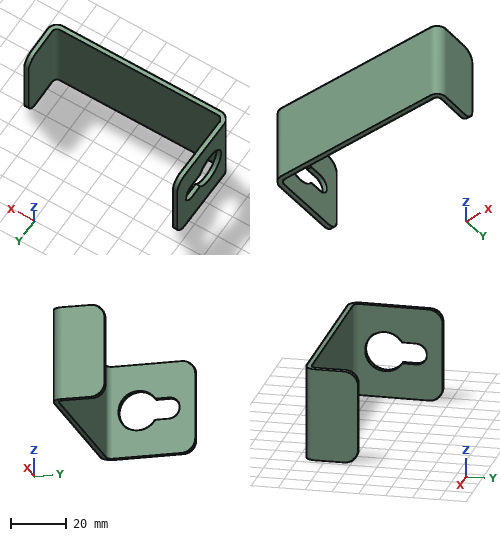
import cadquery as cq
import math

width = 75.9
height = 35.0
long_flange_depth = 35.0
short_flange_depth = 20.0

thickness = 2.0
outer_bend_radius = 4.0
inner_bend_radius = outer_bend_radius - thickness
lean_angle = 1.0
corner_radius = 5.0

keyhole_radius = 7.5
keyhole_center = 13.5
slot_width = 8.05
slot_end_center = 25.05

middle_height = height / 2
left_bend_x = outer_bend_radius
right_bend_x = width - outer_bend_radius


def flange(left_x, length):
    """Upright plate starting at the bend, with its free corners rounded."""
    return (
        cq.Workplane("XY")
        .box(thickness, length, height, centered=False)
        .edges("|X and >Y")
        .fillet(corner_radius)
        .translate((left_x, outer_bend_radius, 0))
    )


def bend(center_x, start_angle, end_angle):
    """Curved strip about a vertical axis between two angles in degrees."""
    def point(radius, angle):
        radians = math.radians(angle)
        return (
            center_x + radius * math.cos(radians),
            outer_bend_radius + radius * math.sin(radians),
        )

    middle_angle = (start_angle + end_angle) / 2
    return (
        cq.Workplane("XY")
        .moveTo(*point(outer_bend_radius, start_angle))
        .threePointArc(point(outer_bend_radius, middle_angle), point(outer_bend_radius, end_angle))
        .lineTo(*point(inner_bend_radius, end_angle))
        .threePointArc(point(inner_bend_radius, middle_angle), point(inner_bend_radius, start_angle))
        .close()
        .extrude(height)
    )


def keyhole():
    """Round opening with a narrower round-ended slot toward the free edge."""
    opening = (
        cq.Workplane("YZ")
        .center(keyhole_center, middle_height)
        .circle(keyhole_radius)
        .extrude(thickness)
    )
    slot_length = slot_end_center - keyhole_center
    slot = (
        cq.Workplane("YZ")
        .center(keyhole_center + slot_length / 2, middle_height)
        .slot2D(slot_length + slot_width, slot_width)
        .extrude(thickness)
    )
    return opening.union(slot)


web = (
    cq.Workplane("XY")
    .box(right_bend_x - left_bend_x, thickness, height, centered=False)
    .translate((left_bend_x, 0, 0))
)

lean = math.radians(lean_angle)
tip_rise = long_flange_depth - outer_bend_radius
long_flange_length = (tip_rise - outer_bend_radius * math.sin(lean)) / math.cos(lean)
long_flange = (
    flange(0, long_flange_length)
    .cut(keyhole())
    .rotate(
        (left_bend_x, outer_bend_radius, 0),
        (left_bend_x, outer_bend_radius, 1),
        -lean_angle,
    )
)

short_flange = flange(width - thickness, short_flange_depth - outer_bend_radius)

result = (
    web.union(bend(left_bend_x, 180 - lean_angle, 270))
    .union(bend(right_bend_x, 270, 360))
    .union(long_flange)
    .union(short_flange)
)